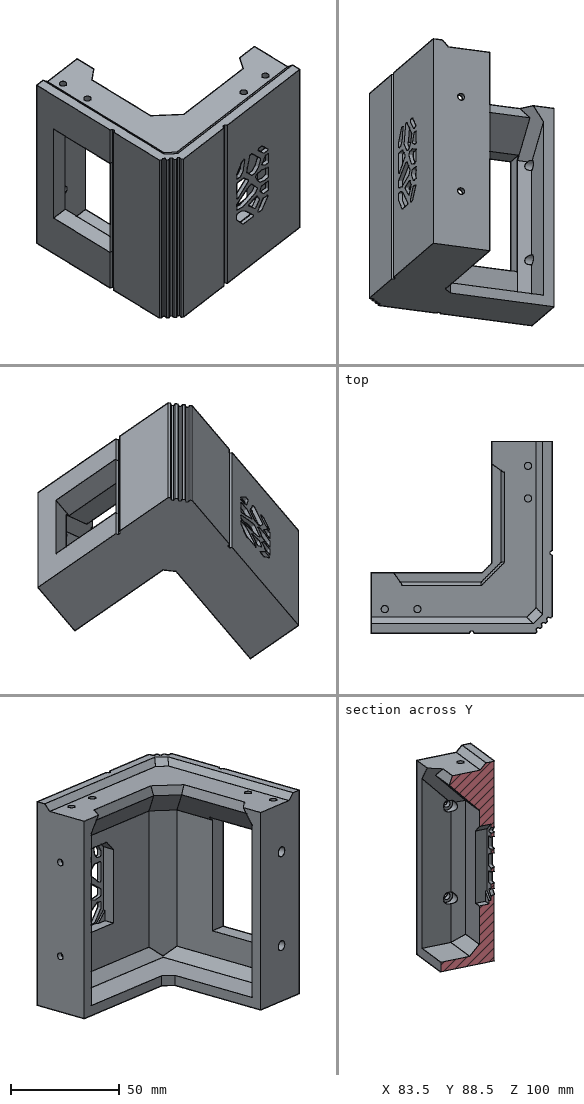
import cadquery as cq
import math


X_LEG = 83.45
Y_LEG = 88.45
HEIGHT = 100.0
LEG_THICKNESS = 28.0
OUTER_CHAMFER = 7.85
INNER_CHAMFER = 4.3

LIP_WIDTH = 4.5
LIP_HEIGHT = 3.0
LIP_SLOPE = 3.0
LIP_CORNER = 4.3
DECK_Z = HEIGHT - LIP_HEIGHT

WALL = 8.0
FLOOR_Z = 5.0
END_WALL = 5.25
CAVITY_CHAMFER = 5.0
CAVITY_CORNER = 9.15
RIDGE_DEPTH = 23.65
NOTCH_DEPTH = 22.0
RIDGE_Z = DECK_Z - 4.5
ROOF_Z = RIDGE_Z - (RIDGE_DEPTH - WALL)

GROOVE_OPENING = 2.2
GROOVE_FLOOR = 1.0
GROOVE_DEPTH = 1.1
GROOVE_FROM_CORNER = 37.1
CORNER_GROOVE_PITCH = 3.4

WINDOW_START = GROOVE_FROM_CORNER + GROOVE_OPENING / 2
WINDOW_END = X_LEG - 10.5
WINDOW_BOTTOM = 22.5
WINDOW_TOP = 78.75

GRILLE_START = 42.9
GRILLE_WIDTH = 25.3
GRILLE_BOTTOM = 29.2
GRILLE_HEIGHT = 41.1
GRILLE_CHAMFER = 5.0
GRILLE_THICKNESS = 2.0
CORNER_WEB = 1.0
CELL_ROUNDING = 0.5

X_END_HOLE_D = 4.7
X_END_HOLE_DEPTH_IN_LEG = 12.9
Y_END_HOLE_D = 3.2
Y_END_COUNTERBORE_D = 6.0
Y_END_HOLE_DEPTH_IN_LEG = 13.75
Y_END_LAND = 2.75
END_HOLE_HEIGHTS = (27.3, 73.4)
END_HOLE_REACH = 12.0
TOP_HOLE_D = 3.3
TOP_HOLE_DEPTH = 10.0
TOP_HOLE_INSET = 11.2
TOP_HOLE_DISTANCES = (62.15, 77.15)

BIG = 300.0

GRILLE_CELLS = (
    ((1.2, 35.2), (6.2, 40.9), (8.4, 40.9), (8.4, 39.4), (4.6, 35.2)),
    ((14.4, 40.9), (16.6, 31.6), (13, 27.1), (10.6, 27.1), (8.4, 29.1), (6.8, 33.4), (13.1, 40.9)),
    ((17.8, 40.9), (19.7, 40.7), (23.4, 34.8), (23.4, 31.9), (20.8, 31.9), (19, 34.1)),
    ((23.4, 29.4), (18.8, 29.4), (14.9, 25.4), (22.5, 19.4), (23.4, 19.4)),
    ((1.3, 33), (3.8, 33), (6.1, 28.7), (3.6, 27.1), (1.3, 27.1)),
    ((1.3, 24), (5.9, 25.7), (9.7, 25.5), (10.6, 24.2), (7.4, 18.8), (3.8, 17.7), (1.3, 18.2)),
    ((13.1, 21.8), (15, 21.5), (23.4, 16), (23.4, 12.4), (19.1, 11.6), (10.6, 14.2), (9, 16.3)),
    ((1.3, 15.6), (6.4, 15.6), (7.4, 13.5), (4.9, 9.8), (1.3, 9.8)),
    ((9.4, 11.6), (15.6, 9.8), (10.6, 4.4), (7.6, 8.3)),
    ((1.4, 6.8), (5.1, 7.1), (8.7, 1.6), (8.4, 0.5), (5.9, 0.5)),
    ((11.3, 0.5), (17.6, 7.8), (20.6, 9.8), (23.5, 9.8), (23.5, 6.4), (19, 0.5)),
)


def half_space(point, normal):
    """Large block on the side of a plane that its normal points to."""
    return cq.Workplane(cq.Plane(origin=point, normal=normal)).rect(BIG, BIG).extrude(BIG)


def trimmed(solid, planes):
    """Remove everything in front of each (point, normal) plane."""
    for point, normal in planes:
        solid = solid.cut(half_space(point, normal))
    return solid


def swapped(vector):
    """Exchange X and Y, carrying a vector from the Y leg to the X leg."""
    return (vector[1], vector[0], vector[2])


def on_both_legs(planes):
    return planes + [(swapped(point), swapped(normal)) for point, normal in planes]


def leg_ends(planes_for_end):
    """End planes of the Y leg and, mirrored, those of the X leg."""
    x_planes = [(swapped(point), swapped(normal)) for point, normal in planes_for_end(X_LEG)]
    return planes_for_end(Y_LEG) + x_planes


def make_body():
    outline = [
        (OUTER_CHAMFER, 0),
        (X_LEG, 0),
        (X_LEG, LEG_THICKNESS),
        (LEG_THICKNESS + INNER_CHAMFER, LEG_THICKNESS),
        (LEG_THICKNESS, LEG_THICKNESS + INNER_CHAMFER),
        (LEG_THICKNESS, Y_LEG),
        (0, Y_LEG),
        (0, OUTER_CHAMFER),
    ]
    return cq.Workplane("XY").polyline(outline).close().extrude(HEIGHT)


def make_deck_cut():
    """Space above the deck, bounded by the sloped inner side of the lip."""
    block = cq.Workplane("XY", origin=(0, 0, DECK_Z)).rect(BIG, BIG).extrude(BIG)
    side = [((LIP_WIDTH, 0, HEIGHT), (-LIP_HEIGHT, 0, -LIP_SLOPE))]
    corner_point = (LIP_WIDTH + LIP_CORNER, LIP_WIDTH, HEIGHT)
    corner = [(corner_point, (-LIP_HEIGHT, -LIP_HEIGHT, -2 * LIP_SLOPE))]
    return trimmed(block, on_both_legs(side) + corner)


def roof_end_planes(leg_length):
    """Chamfer between the 45 degree roof and the end wall."""
    chamfer_start = leg_length - END_WALL - CAVITY_CHAMFER
    return [((WALL, chamfer_start, ROOF_Z), (-1, math.sqrt(2), 1))]


def wall_end_planes(leg_length):
    """End wall and the chamfer between it and the back wall."""
    end = leg_length - END_WALL
    return [
        ((0, end, 0), (0, 1, 0)),
        ((WALL, end - CAVITY_CHAMFER, 0), (-1, 1, 0)),
    ]


def make_cavity():
    block = cq.Workplane("XY", origin=(0, 0, FLOOR_Z)).rect(BIG, BIG).extrude(RIDGE_Z - FLOOR_Z)
    walls = [
        ((WALL, 0, 0), (-1, 0, 0)),
        ((WALL, 0, FLOOR_Z + CAVITY_CHAMFER), (-1, 0, -1)),
        ((WALL, 0, ROOF_Z), (-1, 0, 1)),
    ]
    corner_point = (WALL + CAVITY_CORNER, WALL, ROOF_Z)
    corner = [(corner_point, (-1, -1, 0)), (corner_point, (-1, -1, 2))]
    ends = leg_ends(wall_end_planes) + leg_ends(roof_end_planes)
    return trimmed(block, on_both_legs(walls) + corner + ends)


def make_notch():
    """Opening in the deck above the cavity, leaning outwards above the roof ridge."""
    rise = DECK_Z - RIDGE_Z
    run = RIDGE_DEPTH - NOTCH_DEPTH
    block = cq.Workplane("XY", origin=(0, 0, RIDGE_Z)).rect(BIG, BIG).extrude(rise)
    side = [((RIDGE_DEPTH, 0, RIDGE_Z), (-rise, 0, -run))]
    corner = [((RIDGE_DEPTH + CAVITY_CORNER, RIDGE_DEPTH, RIDGE_Z), (-rise, -rise, -run))]
    return trimmed(block, on_both_legs(side) + corner + leg_ends(roof_end_planes))


def make_groove(centre, along):
    """Full-height trapezoidal groove; 'along' is the horizontal direction of its face."""
    plane = cq.Plane(origin=(centre[0], centre[1], 0), xDir=(along[0], along[1], 0), normal=(0, 0, 1))
    profile = [
        (-GROOVE_OPENING / 2, 0),
        (GROOVE_OPENING / 2, 0),
        (GROOVE_FLOOR / 2, GROOVE_DEPTH),
        (-GROOVE_FLOOR / 2, GROOVE_DEPTH),
    ]
    return cq.Workplane(plane).polyline(profile).close().extrude(HEIGHT)


def cut_grooves(body):
    body = body.cut(make_groove((GROOVE_FROM_CORNER, 0), (1, 0)))
    body = body.cut(make_groove((0, GROOVE_FROM_CORNER), (0, -1)))
    for step in (-1, 0, 1):
        shift = step * CORNER_GROOVE_PITCH / math.sqrt(2)
        centre = (OUTER_CHAMFER / 2 + shift, OUTER_CHAMFER / 2 - shift)
        body = body.cut(make_groove(centre, (1, -1)))
    return body


def make_window():
    size = (WINDOW_END - WINDOW_START, LEG_THICKNESS, WINDOW_TOP - WINDOW_BOTTOM)
    return cq.Workplane("XY").box(*size, centered=False).translate((WINDOW_START, 0, WINDOW_BOTTOM))


def grille_plane(depth):
    """Plane at a depth in the Y leg wall, with the window's far lower corner as origin."""
    origin = (depth, GRILLE_START + GRILLE_WIDTH, GRILLE_BOTTOM)
    return cq.Plane(origin=origin, xDir=(0, -1, 0), normal=(-1, 0, 0))


def cut_grille(body):
    size = (GRILLE_WIDTH, GRILLE_HEIGHT)
    opening = cq.Workplane(grille_plane(WALL)).rect(*size, centered=False)
    opening = opening.extrude(WALL - GRILLE_THICKNESS).edges("|X and >Z").chamfer(GRILLE_CHAMFER)
    web_depth = GRILLE_THICKNESS + CORNER_WEB
    bevelled = cq.Workplane(grille_plane(web_depth)).rect(*size, centered=False)
    bevelled = bevelled.extrude(CORNER_WEB).edges("|X").chamfer(GRILLE_CHAMFER)
    upper = opening.cut(half_space((web_depth, 0, 0), (-1, 0, 0)))
    body = body.cut(upper).cut(bevelled)
    for corners in GRILLE_CELLS:
        cell = cq.Workplane(grille_plane(GRILLE_THICKNESS)).polyline(corners).close()
        body = body.cut(cell.extrude(GRILLE_THICKNESS).edges("|X").fillet(CELL_ROUNDING))
    return body


def make_end_holes(leg_length, diameter, depth_in_leg, land=0.0):
    """Holes along Y through the Y leg end wall, starting 'land' behind the end face."""
    centres = [(depth_in_leg, height) for height in END_HOLE_HEIGHTS]
    start = cq.Workplane("XZ", origin=(0, leg_length - land, 0))
    return start.pushPoints(centres).circle(diameter / 2).extrude(END_HOLE_REACH - land)


def make_top_holes():
    centres = [(TOP_HOLE_INSET, distance) for distance in TOP_HOLE_DISTANCES]
    deck = cq.Workplane("XY", origin=(0, 0, DECK_Z))
    return deck.pushPoints(centres).circle(TOP_HOLE_D / 2).extrude(-TOP_HOLE_DEPTH)


def carried_to_x_leg(solid):
    """Mirror a Y leg feature across the diagonal plane X = Y."""
    return cq.Workplane(solid.combine().val().mirror(cq.Vector(1, -1, 0)))


def cut_holes(body):
    body = body.cut(make_end_holes(Y_LEG, Y_END_HOLE_D, Y_END_HOLE_DEPTH_IN_LEG))
    counterbores = make_end_holes(Y_LEG, Y_END_COUNTERBORE_D, Y_END_HOLE_DEPTH_IN_LEG, Y_END_LAND)
    body = body.cut(counterbores)
    x_leg_holes = make_end_holes(X_LEG, X_END_HOLE_D, X_END_HOLE_DEPTH_IN_LEG)
    body = body.cut(carried_to_x_leg(x_leg_holes))
    body = body.cut(make_top_holes())
    return body.cut(carried_to_x_leg(make_top_holes()))


part = make_body().cut(make_deck_cut()).cut(make_cavity()).cut(make_notch())
part = cut_grooves(part).cut(make_window())
part = cut_holes(cut_grille(part))
result = part.mirror("YZ")